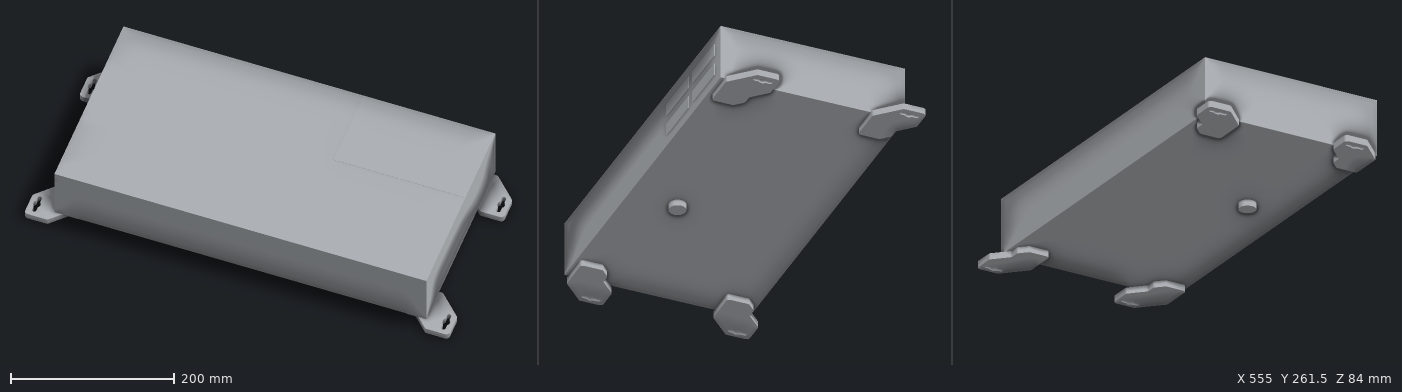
import cadquery as cq

overall_width = 555.0
overall_height = 84.0
body_width = 486.0
body_depth = 246.0
foot_thickness = 8.5
lid_thickness = 0.3
body_height = overall_height - foot_thickness - lid_thickness
body_top = foot_thickness + body_height
body_left = -body_width / 2
body_front = -body_depth / 2
body_rear = body_depth / 2

lid_width = 171.5
lid_depth = 106.5
lid_margin = 0.5

plate_columns = 2
plate_rows = 2
plate_width = 69.0
plate_height = 17.0
plate_thickness = 1.0
plate_column_pitch = 80.5
plate_row_pitch = 28.5
plate_inset = 18.0
plate_top_drop = 16.0

bracket_depth = 60.0
bracket_reach = 74.5
straight_edge = 30.5
front_slope = 20.0
step_end = 63.0
outer_corner_radius = 5.0
edge_corner_radius = 4.0
bracket_overhang = 14.5
bracket_pitch = 195.5

keyhole_x = 10.0
keyhole_y = 19.0
keyhole_diameter = 10.0
slot_width = 5.5
slot_length = 25.0

support_diameter = 22.0
support_x = 42.0
support_y = 58.0


def block(size, corner):
    """Box of the given size placed by its lowest corner."""
    return cq.Workplane("XY").box(*size, centered=False).translate(corner)


def make_lid():
    """Lid set back slightly from the rear and right faces of the body."""
    lid_x = body_width / 2 - lid_margin - lid_width
    lid_y = body_rear - lid_margin - lid_depth
    return block((lid_width, lid_depth, lid_thickness), (lid_x, lid_y, body_top))


def make_rear_plate(column, row):
    """Rear plate, counted from the left column and the top row."""
    plate_x = body_left + plate_inset + column * plate_column_pitch
    plate_z = body_top - plate_top_drop - plate_height - row * plate_row_pitch
    return block((plate_width, plate_thickness, plate_height), (plate_x, body_rear, plate_z))


def make_bracket():
    """Left bracket with its outer front corner at the origin; all slopes are at 45 degrees."""
    inner_slope = bracket_reach - step_end
    outer_slope = bracket_depth - straight_edge
    outline = [
        (0, 0),
        (straight_edge, 0),
        (straight_edge + front_slope, front_slope),
        (step_end, front_slope),
        (bracket_reach, front_slope + inner_slope),
        (bracket_reach, bracket_depth),
        (outer_slope, bracket_depth),
        (0, straight_edge),
    ]
    bracket = cq.Workplane("XY").polyline(outline).close().extrude(foot_thickness)

    outer_corner = cq.selectors.NearestToPointSelector((0, 0, foot_thickness / 2))
    upright_edges = cq.selectors.ParallelDirSelector(cq.Vector(0, 0, 1))
    other_corners = cq.selectors.SubtractSelector(upright_edges, outer_corner)
    bracket = bracket.edges(other_corners).fillet(edge_corner_radius)
    bracket = bracket.edges(outer_corner).fillet(outer_corner_radius)

    keyhole_centre = cq.Workplane("XY").center(keyhole_x, keyhole_y)
    hole = keyhole_centre.circle(keyhole_diameter / 2).extrude(foot_thickness)
    slot = keyhole_centre.slot2D(slot_length, slot_width, 90).extrude(foot_thickness)
    return bracket.cut(hole).cut(slot)


def make_support():
    """Round foot under the body."""
    support = cq.Workplane("XY").center(support_x, support_y).circle(support_diameter / 2)
    return support.extrude(foot_thickness)


result = block((body_width, body_depth, body_height), (body_left, body_front, foot_thickness))
result = result.union(make_lid()).union(make_support())

for column in range(plate_columns):
    for row in range(plate_rows):
        result = result.union(make_rear_plate(column, row))

front_bracket_y = body_front - bracket_overhang
for bracket_y in (front_bracket_y, front_bracket_y + bracket_pitch):
    left_bracket = make_bracket().translate((-overall_width / 2, bracket_y, 0))
    result = result.union(left_bracket).union(left_bracket.mirror("YZ"))